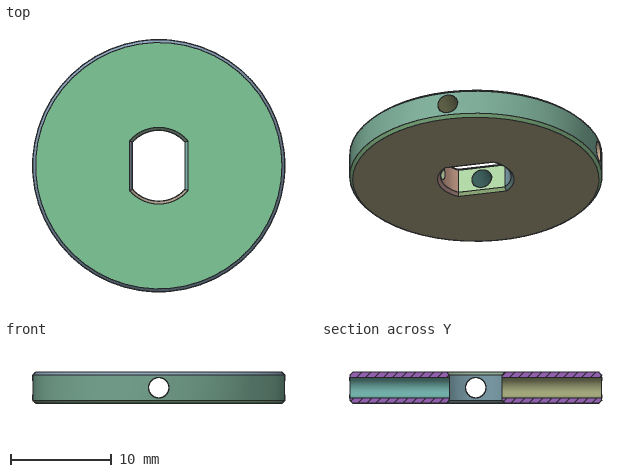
import cadquery as cq

disc_diameter = 25.0
disc_thickness = 3.12

bore_diameter = 7.0
bore_across_flats = 5.2

edge_chamfer = 0.3

cross_hole_diameter = 2.0


def make_disc():
    """Plain flat disc resting on Z = 0."""
    return cq.Workplane("XY").circle(disc_diameter / 2).extrude(disc_thickness)


def make_bore():
    """Solid filling the double-D bore."""
    round_bore = cq.Workplane("XY").circle(bore_diameter / 2).extrude(disc_thickness)
    flats = cq.Workplane("XY").rect(bore_across_flats, bore_diameter).extrude(disc_thickness)
    return round_bore.intersect(flats)


def chamfer_faces(body):
    """Chamfer every edge of the top and bottom faces: outer rim and bore mouth."""
    return body.faces("<Z or >Z").edges().chamfer(edge_chamfer)


def make_cross_hole(plane):
    """Solid for a hole running across the full disc, normal to the given plane."""
    return (
        cq.Workplane(plane)
        .center(0, disc_thickness / 2)
        .circle(cross_hole_diameter / 2)
        .extrude(disc_diameter / 2, both=True)
    )


result = chamfer_faces(make_disc().cut(make_bore()))
for hole_plane in ("XZ", "YZ"):
    result = result.cut(make_cross_hole(hole_plane))